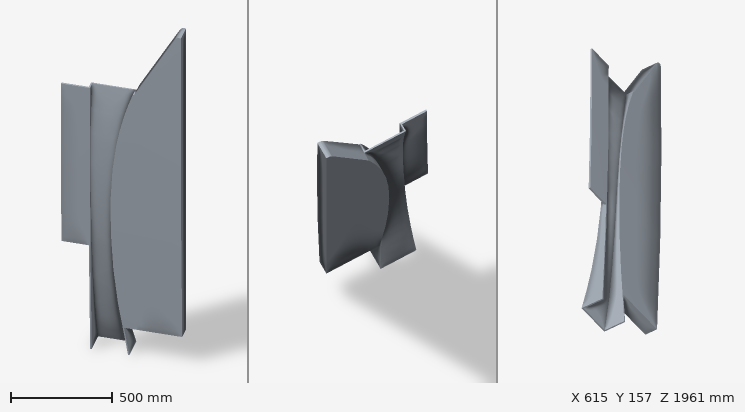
import cadquery as cq
import math

width = 615.0
height = 1961.0
front_radius = 31381.0
front_crest = 1442.0
depth_margin = 196.0

panel_back = 96.0
panel_bottom = 163.0
tip_slope_start = (580.0, 1942.0)
tip_round_middle = (588.0, 1953.0)
tip_flat_start = 600.0

channel_left = 141.0
channel_top = 1580.0
channel_bottom_right = 343.0
channel_back_bottom = 157.0
sheet = 8.0
flange_sheet = 10.0
flange_bottom = 634.0

edge_points = [
    (channel_bottom_right, 0),
    (314.0, 180.0),
    (286.0, 379.0),
    (260.0, 802.0),
    (286.0, 1228.0),
    (331.0, 1442.0),
    (377.0, channel_top),
]

floor_points = [
    (channel_back_bottom, 0),
    (82.0, 315.0),
    (37.0, 688.0),
    (22.0, 980.0),
    (18.0, 1167.0),
    (30.0, 1432.0),
    (51.0, channel_top),
]


def front_y(z):
    """Y of the bulged front surface at height z."""
    return front_radius - math.sqrt(front_radius**2 - (z - front_crest) ** 2)


def front_arc(profile, start, end, offset=0.0):
    """Continue a YZ profile along the front arc between two heights, shifted back by offset."""
    middle = (start + end) / 2
    return profile.threePointArc(
        (front_y(middle) + offset, middle),
        (front_y(end) + offset, end),
    )


def extrude_across(profile, right=width):
    """Extrude a closed YZ profile from X = 0 to X = right."""
    return profile.extrude(right)


def extrude_deep(profile):
    """Extrude a closed XZ outline from Y = 0 to the depth margin."""
    return profile.extrude(-depth_margin)


def make_panel():
    outline = (
        cq.Workplane("XZ")
        .moveTo(*edge_points[0])
        .spline(edge_points[1:], includeCurrent=True)
        .lineTo(*tip_slope_start)
        .threePointArc(tip_round_middle, (tip_flat_start, height))
        .lineTo(width, height)
        .lineTo(width, 0)
        .close()
    )
    side = (
        cq.Workplane("YZ")
        .moveTo(panel_back, panel_bottom)
        .lineTo(panel_back, height)
        .lineTo(front_y(height), height)
    )
    side = front_arc(side, height, panel_bottom).close()
    return extrude_deep(outline).intersect(extrude_across(side))


def channel_block(inset):
    """Solid under the channel floor, with the floor and both walls moved in by inset."""
    outline = (
        cq.Workplane("XZ")
        .moveTo(channel_left + inset, 0)
        .lineTo(channel_bottom_right - inset, 0)
        .spline([(x - inset, z) for x, z in edge_points[1:]], includeCurrent=True)
        .lineTo(channel_left + inset, channel_top)
        .close()
    )
    side = (
        cq.Workplane("YZ")
        .moveTo(channel_back_bottom - inset, 0)
        .spline([(y - inset, z) for y, z in floor_points[1:]], includeCurrent=True)
        .lineTo(front_y(channel_top), channel_top)
    )
    side = front_arc(side, channel_top, 0).close()
    return extrude_deep(outline).intersect(extrude_across(side))


def make_flange():
    side = (
        cq.Workplane("YZ")
        .moveTo(front_y(flange_bottom) + flange_sheet, flange_bottom)
    )
    side = front_arc(side, flange_bottom, channel_top, flange_sheet)
    side = side.lineTo(front_y(channel_top), channel_top)
    side = front_arc(side, channel_top, flange_bottom).close()
    return extrude_across(side, right=channel_left)


channel = channel_block(0).cut(channel_block(sheet))
result = make_panel().union(channel).union(make_flange())